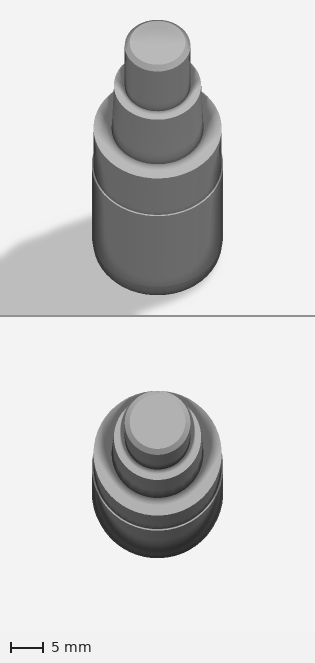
import cadquery as cq

TOTAL_HEIGHT = 51.0
ROUND_TOP = 1.8
LEAD_IN_TOP = 3.6
BARREL_TOP = 21.0
HOUSING_TOP = 30.0
COLLAR_TOP = 40.5

BARREL_RADIUS = 10.0
NECK_RADIUS = 9.75
LEAD_IN_RADIUS = 9.8
BOTTOM_RADIUS = 7.85

COLLAR_BASE_RADIUS = 7.0
COLLAR_TOP_RADIUS = 6.65
STUD_RADIUS = BARREL_RADIUS / 2
CHAMFER_HEIGHT = 0.7
CHAMFER_WIDTH = 0.75


def make_housing():
    """Revolved barrel with a rounded, tapered lower end and a slimmer neck."""
    return (
        cq.Workplane("XZ")
        .lineTo(BOTTOM_RADIUS, 0)
        .tangentArcPoint((LEAD_IN_RADIUS, ROUND_TOP), relative=False)
        .lineTo(BARREL_RADIUS, LEAD_IN_TOP)
        .lineTo(BARREL_RADIUS, BARREL_TOP)
        .lineTo(NECK_RADIUS, BARREL_TOP)
        .lineTo(NECK_RADIUS, HOUSING_TOP)
        .lineTo(0, HOUSING_TOP)
        .close()
        .revolve(360, (0, 0), (0, 1))
    )


def make_pin():
    """Pin with a tapered collar resting on the housing and a chamfered stud."""
    return (
        cq.Workplane("XZ")
        .moveTo(0, HOUSING_TOP)
        .lineTo(COLLAR_BASE_RADIUS, HOUSING_TOP)
        .lineTo(COLLAR_TOP_RADIUS, COLLAR_TOP)
        .lineTo(STUD_RADIUS, COLLAR_TOP)
        .lineTo(STUD_RADIUS, TOTAL_HEIGHT - CHAMFER_HEIGHT)
        .lineTo(STUD_RADIUS - CHAMFER_WIDTH, TOTAL_HEIGHT)
        .lineTo(0, TOTAL_HEIGHT)
        .close()
        .revolve(360, (0, 0), (0, 1))
    )


housing = make_housing()
pin = make_pin()
result = cq.Compound.makeCompound([housing.val(), pin.val()])